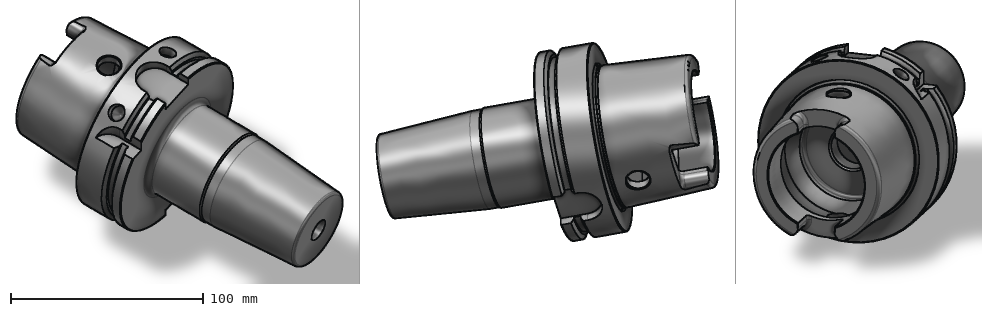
import cadquery as cq
import math

TOTAL_LENGTH = 170.0

TAPER_MOUTH_R = 35.2
TAPER_BASE_R = 75.3 / 2
MOUTH_FILLET = 2.0
MOUTH_BEVEL = 0.5
RELIEF_START_X = 47.5
RELIEF_END_X = 49.0
RELIEF_BEVEL = 0.25

FLANGE_START_X = 50.0
FLANGE_END_X = 78.9
FLANGE_R = 100.0 / 2
FLANGE_CHAMFER = 0.5
FACE_RECESS = 1.5

GROOVE_START_X = 66.6
GROOVE_END_X = 73.5
GROOVE_R = 46.0
GROOVE_BEVEL_WIDTH = 1.5
GROOVE_BEVEL_DEPTH = 2.4

NECK_R = 53.0 / 2
NECK_FILLET = 3.0
NECK_END_X = 112.7
NECK_BEVEL = 1.0
NOSE_R = 26.0
NOSE_TAPER_X = 119.0
TIP_R = 22.3
TIP_FILLET = 1.4

BORE_R = 53.0 / 2
CHAMBER_R = 63.0 / 2
CHAMBER_START_X = 19.7
CHAMBER_END_X = 40.3
CHAMBER_END_ANGLE = 30.0
FLOOR_X = 54.4
FLOOR_FILLET = 1.7
SEAT_MOUTH_R = 24.5 / 2
SEAT_R = 22.5 / 2
SEAT_END_X = 64.6
COOLANT_R = 12.0 / 2

SLOT_WIDTH = 20.0
SLOT_EDGE_R = 10.0 / 2
SLOT_LAND_Z = 32.0
SLOT_FLOOR_FILLET = 2.0
UPPER_SLOT_DEPTH = 10.0
LOWER_SLOT_DEPTH = 15.1

CROSS_HOLE_X = 35.0
CROSS_HOLE_D = 12.0
CROSS_HOLE_MOUTH_D = 13.1

KEYWAY_WIDTH = 20.0
KEYWAY_START_X = 54.5
KEYWAY_FLOOR_Z = 44.0
NOTCH_OFFSET = 31.5

RADIAL_HOLE_X = 59.0
RADIAL_HOLE_D = 9.0
RADIAL_HOLE_DEPTH = 5.1
DRILL_POINT_ANGLE = 118.0
DRILLED_HOLE_ANGLE = 31.5
FLAT_HOLE_ANGLE = -22.5

CUT_MARGIN = 17.0


def outer_body():
    """Turned outside of the holder, revolved about the X axis."""
    groove_floor_start = GROOVE_START_X + GROOVE_BEVEL_WIDTH
    groove_floor_end = GROOVE_END_X - GROOVE_BEVEL_WIDTH
    groove_wall_r = FLANGE_R - GROOVE_BEVEL_DEPTH
    recess_r = TAPER_BASE_R + FACE_RECESS
    recess_x = FLANGE_START_X + FACE_RECESS
    recess_arc_mid = FACE_RECESS * math.sqrt(0.5)
    neck_fillet_mid = NECK_FILLET * (1 - math.sqrt(0.5))
    profile = (
        cq.Workplane("XY")
        .moveTo(0, 0)
        .lineTo(0, TAPER_MOUTH_R)
        .lineTo(RELIEF_START_X, TAPER_BASE_R)
        .lineTo(RELIEF_START_X + RELIEF_BEVEL, TAPER_BASE_R - RELIEF_BEVEL)
        .lineTo(RELIEF_END_X - RELIEF_BEVEL, TAPER_BASE_R - RELIEF_BEVEL)
        .lineTo(RELIEF_END_X, TAPER_BASE_R)
        .lineTo(FLANGE_START_X, TAPER_BASE_R)
        .threePointArc((FLANGE_START_X + recess_arc_mid, recess_r - recess_arc_mid), (recess_x, recess_r))
        .lineTo(FLANGE_START_X, recess_r)
        .lineTo(FLANGE_START_X, FLANGE_R - FLANGE_CHAMFER)
        .lineTo(FLANGE_START_X + FLANGE_CHAMFER, FLANGE_R)
        .lineTo(GROOVE_START_X, FLANGE_R)
        .lineTo(groove_floor_start, groove_wall_r)
        .lineTo(groove_floor_start, GROOVE_R)
        .lineTo(groove_floor_end, GROOVE_R)
        .lineTo(groove_floor_end, groove_wall_r)
        .lineTo(GROOVE_END_X, FLANGE_R)
        .lineTo(FLANGE_END_X - FLANGE_CHAMFER, FLANGE_R)
        .lineTo(FLANGE_END_X, FLANGE_R - FLANGE_CHAMFER)
        .lineTo(FLANGE_END_X, NECK_R + NECK_FILLET)
        .threePointArc(
            (FLANGE_END_X + neck_fillet_mid, NECK_R + neck_fillet_mid),
            (FLANGE_END_X + NECK_FILLET, NECK_R),
        )
        .lineTo(NECK_END_X, NECK_R)
        .lineTo(NECK_END_X + NECK_BEVEL, NOSE_R)
        .lineTo(NOSE_TAPER_X, NOSE_R)
        .lineTo(TOTAL_LENGTH, TIP_R)
        .lineTo(TOTAL_LENGTH, 0)
        .close()
    )
    body = profile.revolve(360, (0, 0, 0), (1, 0, 0))
    body = body.faces("<X").edges().fillet(MOUTH_FILLET)
    return body.faces(">X").edges().fillet(TIP_FILLET)


def inner_bore():
    """Clamping bore, undercut chamber, coolant tube seat and through hole."""
    chamber_cone_length = (CHAMBER_R - BORE_R) / math.tan(math.radians(CHAMBER_END_ANGLE))
    fillet_mid = FLOOR_FILLET * (1 - math.sqrt(0.5))
    seat_bevel = SEAT_MOUTH_R - SEAT_R
    return (
        cq.Workplane("XY")
        .moveTo(0, 0)
        .lineTo(0, BORE_R + MOUTH_BEVEL)
        .lineTo(MOUTH_BEVEL, BORE_R)
        .lineTo(CHAMBER_START_X, BORE_R)
        .lineTo(CHAMBER_START_X, CHAMBER_R)
        .lineTo(CHAMBER_END_X, CHAMBER_R)
        .lineTo(CHAMBER_END_X + chamber_cone_length, BORE_R)
        .lineTo(FLOOR_X - FLOOR_FILLET, BORE_R)
        .threePointArc((FLOOR_X - fillet_mid, BORE_R - fillet_mid), (FLOOR_X, BORE_R - FLOOR_FILLET))
        .lineTo(FLOOR_X, SEAT_MOUTH_R)
        .lineTo(FLOOR_X + seat_bevel, SEAT_R)
        .lineTo(SEAT_END_X, SEAT_R)
        .lineTo(SEAT_END_X, COOLANT_R)
        .lineTo(TOTAL_LENGTH, COOLANT_R)
        .lineTo(TOTAL_LENGTH, 0)
        .close()
        .revolve(360, (0, 0, 0), (1, 0, 0))
    )


def drive_slot(depth):
    """Upper drive slot: bevelled straight walls that round outward into flat lands, filleted floor."""
    half_width = SLOT_WIDTH / 2
    arc_mid = SLOT_EDGE_R * math.sqrt(0.5)
    arc_center_y = half_width + SLOT_EDGE_R
    arc_center_z = SLOT_LAND_Z - SLOT_EDGE_R
    slot = (
        cq.Workplane("YZ")
        .moveTo(-half_width, 0)
        .lineTo(half_width, 0)
        .lineTo(half_width, arc_center_z)
        .threePointArc((arc_center_y - arc_mid, arc_center_z + arc_mid), (arc_center_y, SLOT_LAND_Z))
        .lineTo(FLANGE_R, SLOT_LAND_Z)
        .lineTo(FLANGE_R, FLANGE_R)
        .lineTo(-FLANGE_R, FLANGE_R)
        .lineTo(-FLANGE_R, SLOT_LAND_Z)
        .lineTo(-arc_center_y, SLOT_LAND_Z)
        .threePointArc((arc_mid - arc_center_y, arc_center_z + arc_mid), (-half_width, arc_center_z))
        .close()
        .extrude(depth)
    )
    slot = slot.faces(">X").edges().fillet(SLOT_FLOOR_FILLET)
    corner_bevel = (
        cq.Workplane("XY")
        .moveTo(0, -half_width - MOUTH_BEVEL)
        .lineTo(MOUTH_BEVEL, -half_width)
        .lineTo(MOUTH_BEVEL, half_width)
        .lineTo(0, half_width + MOUTH_BEVEL)
        .close()
        .extrude(arc_center_z)
    )
    return slot.union(corner_bevel)


def cross_hole():
    """Radial hole through both shank walls, lightly opened at the outside."""
    mouth_step = (CROSS_HOLE_MOUTH_D - CROSS_HOLE_D) / 2
    wall_r = TAPER_MOUTH_R + (TAPER_BASE_R - TAPER_MOUTH_R) * CROSS_HOLE_X / RELIEF_START_X
    hole = cq.Workplane("XY").center(CROSS_HOLE_X, 0).circle(CROSS_HOLE_D / 2).extrude(FLANGE_R, both=True)
    for side in (1, -1):
        mouth = (
            cq.Workplane("XY")
            .workplane(offset=side * (wall_r - 2 * mouth_step))
            .center(CROSS_HOLE_X, 0)
            .circle(CROSS_HOLE_MOUTH_D / 2)
            .extrude(side * CUT_MARGIN)
        )
        hole = hole.union(mouth)
    return hole


def round_ended_cutter(floor_z, center_y):
    """Upward-open cutter path along X with a full-radius end, running out at the flange rear."""
    radius = KEYWAY_WIDTH / 2
    end_center_x = KEYWAY_START_X + radius
    return (
        cq.Workplane("XY")
        .workplane(offset=floor_z)
        .moveTo(FLANGE_END_X, center_y - radius)
        .lineTo(end_center_x, center_y - radius)
        .threePointArc((KEYWAY_START_X, center_y), (end_center_x, center_y + radius))
        .lineTo(FLANGE_END_X, center_y + radius)
        .close()
        .extrude(FLANGE_R)
    )


def radial_hole(angle, point_height):
    """Blind hole into the flange rim, tilted from +Z toward -Y by the angle in degrees."""
    radius = RADIAL_HOLE_D / 2
    floor_z = FLANGE_R - RADIAL_HOLE_DEPTH
    return (
        cq.Workplane("XZ")
        .moveTo(0, floor_z - point_height)
        .lineTo(radius, floor_z)
        .lineTo(radius, FLANGE_R + CUT_MARGIN)
        .lineTo(0, FLANGE_R + CUT_MARGIN)
        .close()
        .revolve(360, (0, 0, 0), (0, 1, 0))
        .translate((RADIAL_HOLE_X, 0, 0))
        .rotate((0, 0, 0), (1, 0, 0), angle)
    )


def flip(shape):
    """Turn a feature half a turn about the X axis."""
    return shape.rotate((0, 0, 0), (1, 0, 0), 180)


drill_point = RADIAL_HOLE_D / 2 / math.tan(math.radians(DRILL_POINT_ANGLE / 2))
keyway = round_ended_cutter(KEYWAY_FLOOR_Z, 0)
notch = round_ended_cutter(NOTCH_OFFSET, -NOTCH_OFFSET - KEYWAY_WIDTH / 2)

result = (
    outer_body()
    .cut(inner_bore())
    .cut(drive_slot(UPPER_SLOT_DEPTH))
    .cut(flip(drive_slot(LOWER_SLOT_DEPTH)))
    .cut(cross_hole())
    .cut(keyway)
    .cut(flip(keyway))
    .cut(notch)
    .cut(radial_hole(DRILLED_HOLE_ANGLE, drill_point))
    .cut(radial_hole(FLAT_HOLE_ANGLE, 0))
)